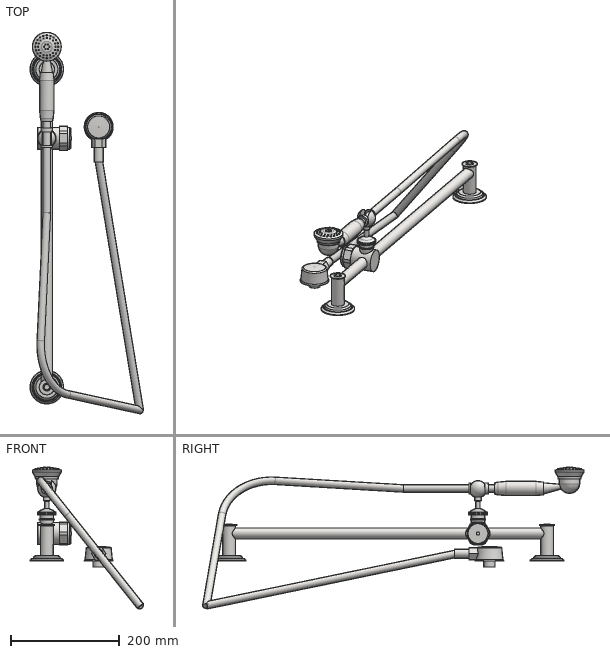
import cadquery as cq
import math


BAR_RADIUS = 10.5
BAR_HEIGHT = 50.5
POST_REAR_Y = 127.0
POST_FRONT_Y = -458.0
POST_RADIUS = 12.0
POST_TOP = 68.0

VALVE_RADIUS = 20.5
VALVE_LEFT_X = -17.0
KNOB_START_X = 23.0
KNOB_HEX_END_X = 38.0
KNOB_END_X = 44.0
KNOB_ACROSS_CORNERS = 48.5
KNOB_CORNER_CHAMFER = 3.5
KNOB_RIM_CHAMFER = 2.0
KNOB_TIP_LENGTH = 1.5
KNOB_TIP_RADIUS = 3.0

VALVE_NECK_RADIUS = 12.5
STEM_RADIUS = 4.0
CAP_RADIUS = 16.0
CAP_BOTTOM = 85.0
CAP_SIDE_HEIGHT = 5.0
CAP_RIDGE_RADIUS = 1.05
CAP_RIDGES = 24

HANDSET_HEIGHT = 133.5
HEAD_Y = 168.5
HEAD_RIM_RADIUS = 27.0
HEAD_RIM_BOTTOM = 163.5
HEAD_RIM_THICKNESS = 3.5
HEAD_TOP = 172.0
NOZZLE_RADIUS = 1.05
NOZZLE_RINGS = ((5.0, 6, 173.0), (16.0, 16, 171.5), (21.0, 20, 170.0))

CRADLE_RADIUS = 17.0
CRADLE_SLOT_WIDTH = 17.0
CRADLE_REAR_FLANGE = (12.0, 19.0)
CRADLE_FRONT_FLANGE = (-17.0, -13.0)
CRADLE_FLANGE_RADIUS = 10.5
HANDSET_TUBE_RADIUS = 7.0
GRIP_RADIUS = 13.0
NECK_START_Y = 121.0
NECK_START_RADIUS = 10.5
NECK_END_Y = 154.5
NECK_END_RADIUS = 4.0
NECK_RISE = 3.5

HOSE_RADIUS = 7.0
HOSE_BEND_RADIUS = 92.0
HOSE_PLANE_SLOPE = math.radians(51.5)
HOSE_START = (0, -14.0)
HOSE_KINK = (0, -137.0)
HOSE_CORNER = (-24.5, -459.0)
HOSE_END = (277.0, -500.0)
LOWER_HOSE_END = (274.5, -499.5)

OUTLET_X = 95.5
OUTLET_Y = 21.0
OUTLET_HEIGHT = 13.0
SPIGOT_RADIUS = 10.5
SPIGOT_LENGTH = 11.0
NUT_END_Y = -17.0
NUT_ACROSS_CORNERS = 26.0
SLEEVE_END_Y = -43.5
HOSE_INSERTION = 3.5
SLEEVE_RADIUS = 8.5


def turned_z(x, y, profile):
    """Solid of revolution about a vertical axis, from (radius, height) points."""
    outline = cq.Workplane("XZ").polyline([(0, profile[0][1])] + profile + [(0, profile[-1][1])]).close()
    return outline.revolve(360, (0, 0), (0, 1)).translate((x, y, 0))


def turned_y(x, z, profile):
    """Solid of revolution about an axis along Y, from (radius, y) points."""
    outline = cq.Workplane("XY").polyline([(0, profile[0][1])] + profile + [(0, profile[-1][1])]).close()
    return outline.revolve(360, (0, 0), (0, 1)).translate((x, 0, z))


def cylinder_x(x_start, x_end, radius):
    """Cylinder on the valve's X axis."""
    return cq.Workplane("YZ", origin=(x_start, 0, BAR_HEIGHT)).circle(radius).extrude(x_end - x_start)


def wall_post(y):
    """Post on a stepped round rose, with a lip and a button on top."""
    profile = [
        (31.0, 0), (31.0, 1.5), (27.5, 5.0), (25.0, 5.0), (24.0, 8.0), (20.5, 10.5),
        (POST_RADIUS, 10.5), (POST_RADIUS, POST_TOP - 3.5), (14.0, POST_TOP - 3.0), (14.0, POST_TOP - 1.5),
        (7.0, POST_TOP - 1.5), (5.0, POST_TOP),
    ]
    return turned_z(0, y, profile)


def wall_bar():
    """Round bar between two posts."""
    bar_length = POST_REAR_Y - POST_FRONT_Y
    bar = cq.Workplane("XZ", origin=(0, POST_REAR_Y, BAR_HEIGHT)).circle(BAR_RADIUS).extrude(bar_length)
    return bar.union(wall_post(POST_REAR_Y)).union(wall_post(POST_FRONT_Y))


def valve():
    """Round body with a hexagonal knob at its right end."""
    body = cylinder_x(VALVE_LEFT_X, KNOB_START_X, VALVE_RADIUS)
    knob = (
        cq.Workplane("YZ", origin=(KNOB_START_X, 0, BAR_HEIGHT))
        .polygon(6, KNOB_ACROSS_CORNERS)
        .extrude(KNOB_HEX_END_X - KNOB_START_X)
        .edges("|X").chamfer(KNOB_CORNER_CHAMFER)
    )
    knob_cap = cylinder_x(KNOB_HEX_END_X, KNOB_END_X, VALVE_RADIUS)
    knob_cap = knob_cap.faces(">X").edges().chamfer(KNOB_RIM_CHAMFER)
    knob_tip = cylinder_x(KNOB_END_X, KNOB_END_X + KNOB_TIP_LENGTH, KNOB_TIP_RADIUS)
    return body.union(knob).union(knob_cap).union(knob_tip)


def valve_stem():
    """Neck, ridged domed cap and thin stem that carry the cradle."""
    cap_shoulder = CAP_BOTTOM + CAP_SIDE_HEIGHT
    profile = [
        (VALVE_NECK_RADIUS, BAR_HEIGHT), (VALVE_NECK_RADIUS, 75.0), (14.0, 76.0), (14.0, 77.0),
        (VALVE_NECK_RADIUS, 78.0), (VALVE_NECK_RADIUS, CAP_BOTTOM),
        (CAP_RADIUS, CAP_BOTTOM), (CAP_RADIUS, cap_shoulder), (11.0, 93.5), (STEM_RADIUS, 97.0),
        (STEM_RADIUS, 109.5), (6.0, 112.0), (6.0, 119.5),
    ]
    ridges = (
        cq.Workplane("XY", origin=(0, 0, CAP_BOTTOM))
        .polarArray(CAP_RADIUS, 0, 360, CAP_RIDGES)
        .circle(CAP_RIDGE_RADIUS).extrude(CAP_SIDE_HEIGHT)
    )
    return turned_z(0, 0, profile).union(ridges)


def cradle():
    """Ball slotted from above for the handset tube."""
    ball = cq.Workplane("XY").sphere(CRADLE_RADIUS)
    slot = cq.Workplane("XY").box(
        CRADLE_SLOT_WIDTH, 2 * CRADLE_RADIUS, CRADLE_RADIUS, centered=(True, True, False)
    )
    return ball.cut(slot).translate((0, 0, HANDSET_HEIGHT))


def handset():
    """Tube through the cradle with a flange on each side of it, the grip and the tapering neck."""
    front_start, front_end = CRADLE_FRONT_FLANGE
    rear_start, rear_end = CRADLE_REAR_FLANGE
    profile = [
        (CRADLE_FLANGE_RADIUS, front_start), (CRADLE_FLANGE_RADIUS, front_end),
        (HANDSET_TUBE_RADIUS, front_end), (HANDSET_TUBE_RADIUS, rear_start),
        (CRADLE_FLANGE_RADIUS, rear_start), (CRADLE_FLANGE_RADIUS, rear_end),
        (HANDSET_TUBE_RADIUS, rear_end), (HANDSET_TUBE_RADIUS, 31.0),
        (10.5, 31.0), (12.0, 36.5), (GRIP_RADIUS, 51.0), (GRIP_RADIUS, 107.0), (12.0, NECK_START_Y),
    ]
    grip = turned_y(0, HANDSET_HEIGHT, profile)
    neck = (
        cq.Workplane("XZ", origin=(0, NECK_START_Y, HANDSET_HEIGHT)).circle(NECK_START_RADIUS)
        .workplane(offset=NECK_START_Y - NECK_END_Y).center(0, NECK_RISE).circle(NECK_END_RADIUS).loft()
    )
    return grip.union(neck)


def shower_head():
    """Bell with a domed face and rings of small nozzles."""
    outline = (
        cq.Workplane("XZ").moveTo(0, 124.0)
        .threePointArc((13.0, 130.0), (19.0, 142.0))
        .lineTo(19.0, 151.0).lineTo(21.0, 151.0).lineTo(22.0, 155.0)
        .lineTo(HEAD_RIM_RADIUS, HEAD_RIM_BOTTOM)
        .lineTo(HEAD_RIM_RADIUS, HEAD_RIM_BOTTOM + HEAD_RIM_THICKNESS)
        .lineTo(21.0, 169.0).lineTo(10.0, HEAD_TOP).lineTo(0, HEAD_TOP).close()
    )
    head = outline.revolve(360, (0, 0), (0, 1)).translate((0, HEAD_Y, 0))
    for ring_radius, count, tip_height in NOZZLE_RINGS:
        nozzles = (
            cq.Workplane("XY", origin=(0, HEAD_Y, HEAD_RIM_BOTTOM))
            .polarArray(ring_radius, 0, 360, count)
            .circle(NOZZLE_RADIUS).extrude(tip_height - HEAD_RIM_BOTTOM)
        )
        head = head.union(nozzles)
    return head


def hose_point(uv):
    """Point in space for a (u, v) place in the hose plane."""
    u, v = uv
    return (u * math.cos(HOSE_PLANE_SLOPE), v, HANDSET_HEIGHT - u * math.sin(HOSE_PLANE_SLOPE))


def straight_hose(start, end):
    """Round hose between two points in space."""
    axis = cq.Vector(*end) - cq.Vector(*start)
    return cq.Workplane(cq.Plane(start, normal=axis.toTuple())).circle(HOSE_RADIUS).extrude(axis.Length)


def upper_hose():
    """Straight out of the handset, a slight kink, one large bend, then straight down."""
    corner = cq.Vector(*HOSE_CORNER)
    back = (cq.Vector(*HOSE_KINK) - corner).normalized()
    ahead = (cq.Vector(*HOSE_END) - corner).normalized()
    half_angle = back.getAngle(ahead) / 2
    tangent_length = HOSE_BEND_RADIUS / math.tan(half_angle)
    bisector = (back + ahead).normalized()
    bend_middle = corner + bisector * (HOSE_BEND_RADIUS / math.sin(half_angle) - HOSE_BEND_RADIUS)
    bend_start = corner + back * tangent_length
    bend_end = corner + ahead * tangent_length

    first = hose_point(HOSE_START)
    kink = hose_point(HOSE_KINK)
    start, middle, end = [hose_point((p.x, p.y)) for p in (bend_start, bend_middle, bend_end)]
    bend_path = cq.Workplane(cq.Edge.makeThreePointArc(*[cq.Vector(*p) for p in (start, middle, end)]))
    bend_plane = cq.Plane(start, normal=(cq.Vector(*start) - cq.Vector(*kink)).toTuple())
    bend = cq.Workplane(bend_plane).circle(HOSE_RADIUS).sweep(bend_path)
    return (
        straight_hose(first, kink)
        .union(straight_hose(kink, start))
        .union(bend)
        .union(straight_hose(end, hose_point(HOSE_END)))
    )


def lower_hose():
    """Straight run from the outlet sleeve to the end of the upper hose."""
    start = (OUTLET_X, SLEEVE_END_Y + HOSE_INSERTION, OUTLET_HEIGHT)
    return straight_hose(start, hose_point(LOWER_HOSE_END))


def wall_outlet():
    """Flared cup on a spigot, with a hexagonal nut and a sleeve that takes the hose."""
    profile = [
        (SPIGOT_RADIUS, -SPIGOT_LENGTH), (SPIGOT_RADIUS, 0), (27.0, 0), (25.0, 3.0), (23.0, 24.0),
        (20.5, 26.0), (1.0, 27.0),
    ]
    cup = turned_z(OUTLET_X, OUTLET_Y, profile)
    nut_length = OUTLET_Y - NUT_END_Y
    nut = (
        cq.Workplane("XZ", origin=(OUTLET_X, OUTLET_Y, OUTLET_HEIGHT))
        .polygon(6, NUT_ACROSS_CORNERS).extrude(nut_length)
    )
    sleeve = turned_y(OUTLET_X, OUTLET_HEIGHT, [(SLEEVE_RADIUS, SLEEVE_END_Y), (SLEEVE_RADIUS, NUT_END_Y)])
    return cup.union(nut).union(sleeve)


attached_parts = (
    valve(), valve_stem(), cradle(), handset(), shower_head(), upper_hose(), lower_hose(), wall_outlet()
)
result = wall_bar()
for part in attached_parts:
    result = result.union(part)